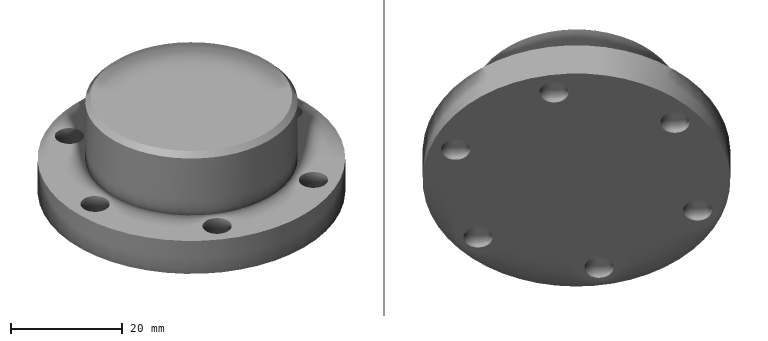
import cadquery as cq

flange_diameter = 55.0
flange_thickness = 7.0

total_height = 20.0
boss_diameter = 38.0
boss_chamfer = 1.0

hole_count = 6
hole_diameter = 5.2
bolt_circle_diameter = 46.0
first_hole_angle = 3.6


def make_flange():
    """Round flange standing on the XY plane."""
    return cq.Workplane("XY").circle(flange_diameter / 2).extrude(flange_thickness)


def make_boss():
    """Central cylinder with a chamfered top rim."""
    boss = cq.Workplane("XY").circle(boss_diameter / 2).extrude(total_height)
    return boss.faces(">Z").edges().chamfer(boss_chamfer)


def make_bolt_holes():
    """Ring of cylinders that cut through the flange."""
    return (
        cq.Workplane("XY")
        .polarArray(bolt_circle_diameter / 2, first_hole_angle, 360, hole_count)
        .circle(hole_diameter / 2)
        .extrude(flange_thickness)
    )


result = make_flange().union(make_boss()).cut(make_bolt_holes())